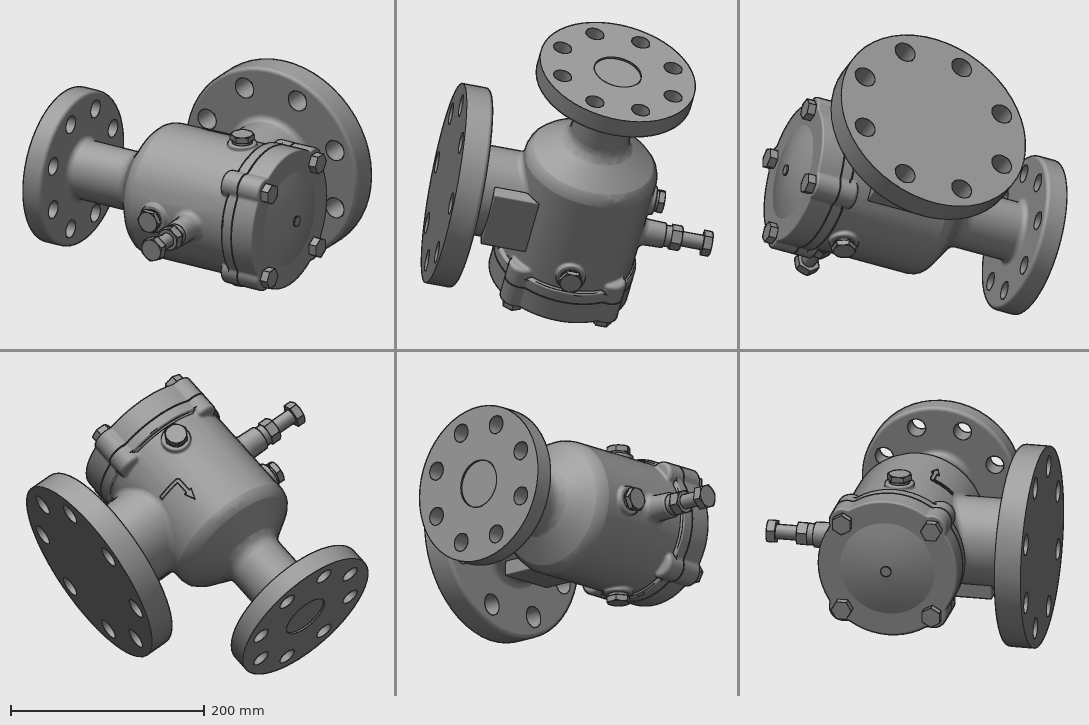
import cadquery as cq
import math


INLET_FACE_X = -180.0
INLET_FLANGE_RADIUS = 82.55
INLET_FLANGE_THICKNESS = 22.3
INLET_BOLT_CIRCLE_RADIUS = 63.5
INLET_BOLT_HOLE_DIAMETER = 19.0
INLET_RECESS_DIAMETER = 50.0
INLET_RECESS_DEPTH = 2.0
INLET_PIPE_RADIUS = 31.0
INLET_ROOT_FILLET = 6.0

OUTLET_FACE_Y = 143.0
OUTLET_FLANGE_RADIUS = 105.0
OUTLET_FLANGE_THICKNESS = 28.4
OUTLET_BOLT_CIRCLE_RADIUS = 84.15
OUTLET_BOLT_HOLE_DIAMETER = 22.3
OUTLET_NECK_RADIUS = 47.2
OUTLET_ROOT_FILLET = 7.0
OUTLET_SADDLE_FILLET = 6.0
FLANGE_BOLT_COUNT = 8
FLANGE_EDGE_FILLET = 4.0

BARREL_RADIUS = 70.2
TAPER_START_X = -91.0
TAPER_END_X = -63.7
TAPER_SMALL_FILLET = 16.0
TAPER_LARGE_FILLET = 15.0

RIM_START_X = 56.0
RIM_RADIUS = 74.0
RIM_FILLET = 1.8
JOINT_X = 68.0
GASKET_THICKNESS = 1.0
COVER_THICKNESS = 25.0
COVER_START_X = JOINT_X + GASKET_THICKNESS
COVER_END_X = COVER_START_X + COVER_THICKNESS
COVER_EDGE_FILLET = 2.0
LUG_START_X = 47.3
LUG_RADIUS = 14.8
LUG_CIRCLE_RADIUS = 67.0
LUG_SIDE_FILLET = 5.5
LUG_NOSE_FILLET = 4.0
LUG_ROOT_FILLET = 3.0
LUG_ANGLES = (45.0, 135.0, 225.0, 315.0)

DOME_HEIGHT = 7.9
DOME_BASE_RADIUS = 50.0
DOME_BOSS_RADIUS = 5.5
DOME_BOSS_HEIGHT = 9.3
COVER_BOLT_FLATS = 18.6
COVER_BOLT_HEAD_HEIGHT = 8.4

TOP_PLUG_X = 36.2
SIDE_PLUG_X = -27.2
PLUG_PAD_RADIUS = 15.3
PLUG_PAD_TOP = 74.4
PLUG_PAD_EDGE_FILLET = 2.0
PLUG_PAD_ROOT_FILLET = 2.3
PLUG_COLLAR_RADIUS = 10.7
PLUG_COLLAR_TOP = 77.2
PLUG_HEAD_FLATS = 22.0
PLUG_HEAD_TOP = 83.6
PAD_FOOT = 60.0
ROOT_MARGIN = 1.0

SCREW_X = 14.6
SCREW_BOSS_FOOT_RADIUS = 14.2
SCREW_BOSS_TIP_RADIUS = 13.0
SCREW_BOSS_TIP = 94.4
SCREW_BOSS_EDGE_FILLET = 1.8
SCREW_BOSS_ROOT_FILLET = 6.0
SCREW_COLLAR_RADIUS = 11.1
SCREW_NUT_START = 100.9
SCREW_NUT_END = 112.0
SCREW_SHANK_RADIUS = 7.6
SCREW_HEAD_START = 134.8
SCREW_HEAD_END = 143.84
SCREW_FLATS = 22.6
SCREW_HEX_TILT = 9.0
HEX_CHAMFER_ANGLE = 30.0

NECK_PAD_HALF_WIDTH = 32.0
NECK_PAD_BOTTOM_Z = -50.0
NECK_PAD_END_Y = 96.5
NECK_PAD_FILLET = 1.5

ARROW_RELIEF = 1.0
ARROW_BAR_WIDTH = 3.8
ARROW_BAR_START_Y = 48.5
ARROW_BAR_END_Y = 26.4
ARROW_HEAD_BASE_X = -16.8
ARROW_TIP_X = -28.9
ARROW_HEAD_HALF_WIDTH = 4.3
ARROW_CORNER_FILLET = 3.5


def x_plane(x):
    """Plane facing +X whose local axes are Y and Z."""
    return cq.Workplane("YZ", origin=(x, 0, 0))


def hexagon(plane, flats, start, end, turn=0.0):
    """Hexagonal prism along the plane normal; at zero turn a corner lies on the local X axis."""
    corner_diameter = flats / math.cos(math.pi / 6)
    prism = plane.workplane(offset=start).polygon(6, corner_diameter).extrude(end - start)
    foot = plane.plane.origin
    return prism.rotate(foot, foot + plane.plane.zDir, turn)


def chamfered_hexagon(plane, flats, start, end, turn=0.0):
    """Hexagonal prism whose far corners are turned down to a cone."""
    corner_radius = flats / math.sqrt(3)
    drop = (corner_radius - flats / 2) * math.tan(math.radians(HEX_CHAMFER_ANGLE))
    envelope = plane.workplane(offset=start).circle(corner_radius).extrude(end - start)
    envelope = envelope.faces(cq.selectors.DirectionNthSelector(plane.plane.zDir, -1)).edges()
    envelope = envelope.chamfer(drop, corner_radius - flats / 2)
    return hexagon(plane, flats, start, end, turn).intersect(envelope)


def cylinder(plane, radius, start, end):
    return plane.workplane(offset=start).circle(radius).extrude(end - start)


def bolt_hole_cutters(plane, circle_radius, diameter, depth):
    start_angle = 180.0 / FLANGE_BOLT_COUNT
    holes = plane.polarArray(circle_radius, start_angle, 360, FLANGE_BOLT_COUNT)
    return holes.circle(diameter / 2).extrude(depth)


def round_ring(body, x, radius, fillet):
    """Fillet the circular edge about the main axis at the given place."""
    def matches(edge):
        return (
            edge.geomType() == "CIRCLE"
            and abs(edge.Center().x - x) < 0.01
            and abs(edge.radius() - radius) < 0.01
        )
    return body.newObject(body.edges().filter(matches).vals()).fillet(fillet)


def round_root(body, plane, radius, fillet):
    """Fillet the edge where a round branch along the plane normal meets the barrel."""
    axis = plane.plane.zDir
    foot = plane.plane.origin
    deepest = math.sqrt(BARREL_RADIUS**2 - radius**2)

    def matches(edge):
        if edge.geomType() == "CIRCLE":
            return False
        for offset in edge.positions([0, 0.25, 0.5, 0.75, 1]):
            span = offset - foot
            height = span.dot(axis)
            off_axis = (span - axis * height).Length
            inside = deepest - ROOT_MARGIN < height < BARREL_RADIUS + ROOT_MARGIN
            if not inside or off_axis > radius + ROOT_MARGIN:
                return False
        return True
    return body.newObject(body.edges().filter(matches).vals()).fillet(fillet)


def make_main_shell():
    """Inlet flange, inlet pipe, taper and barrel turned about the main axis."""
    flange_back = INLET_FACE_X + INLET_FLANGE_THICKNESS
    shell = (
        cq.Workplane("XY")
        .moveTo(INLET_FACE_X, 0)
        .lineTo(INLET_FACE_X, INLET_FLANGE_RADIUS)
        .lineTo(flange_back, INLET_FLANGE_RADIUS)
        .lineTo(flange_back, INLET_PIPE_RADIUS)
        .lineTo(TAPER_START_X, INLET_PIPE_RADIUS)
        .lineTo(TAPER_END_X, BARREL_RADIUS)
        .lineTo(JOINT_X, BARREL_RADIUS)
        .lineTo(JOINT_X, 0)
        .close()
        .revolve(360, (0, 0, 0), (1, 0, 0))
    )
    for x, radius, fillet in (
        (flange_back, INLET_FLANGE_RADIUS, FLANGE_EDGE_FILLET),
        (flange_back, INLET_PIPE_RADIUS, INLET_ROOT_FILLET),
        (TAPER_START_X, INLET_PIPE_RADIUS, TAPER_SMALL_FILLET),
        (TAPER_END_X, BARREL_RADIUS, TAPER_LARGE_FILLET),
    ):
        shell = round_ring(shell, x, radius, fillet)
    face = x_plane(INLET_FACE_X)
    holes = bolt_hole_cutters(
        face, INLET_BOLT_CIRCLE_RADIUS, INLET_BOLT_HOLE_DIAMETER, INLET_FLANGE_THICKNESS
    )
    recess = cylinder(face, INLET_RECESS_DIAMETER / 2, 0, INLET_RECESS_DEPTH)
    return shell.cut(holes).cut(recess)


def make_outlet():
    """Outlet neck and flange turned about the outlet axis."""
    flange_back = OUTLET_FACE_Y - OUTLET_FLANGE_THICKNESS
    outlet = (
        cq.Workplane("XY")
        .lineTo(OUTLET_NECK_RADIUS, 0)
        .lineTo(OUTLET_NECK_RADIUS, flange_back)
        .lineTo(OUTLET_FLANGE_RADIUS, flange_back)
        .lineTo(OUTLET_FLANGE_RADIUS, OUTLET_FACE_Y)
        .lineTo(0, OUTLET_FACE_Y)
        .close()
        .revolve(360, (0, 0, 0), (0, 1, 0))
    )
    back_edges = outlet.faces(cq.selectors.NearestToPointSelector((0, flange_back, 0)))
    outlet = back_edges.edges("%CIRCLE").edges(cq.selectors.RadiusNthSelector(0)).fillet(OUTLET_ROOT_FILLET)
    back_edges = outlet.faces(cq.selectors.NearestToPointSelector((0, flange_back, 0)))
    outlet = back_edges.edges("%CIRCLE").edges(cq.selectors.RadiusNthSelector(-1)).fillet(FLANGE_EDGE_FILLET)
    face = cq.Workplane("XZ", origin=(0, OUTLET_FACE_Y, 0))
    holes = bolt_hole_cutters(
        face, OUTLET_BOLT_CIRCLE_RADIUS, OUTLET_BOLT_HOLE_DIAMETER, OUTLET_FLANGE_THICKNESS
    )
    return outlet.cut(holes)


def make_neck_pad():
    pad = cq.Workplane("XY").box(
        2 * NECK_PAD_HALF_WIDTH, NECK_PAD_END_Y, -NECK_PAD_BOTTOM_Z, centered=(True, False, False)
    )
    pad = pad.translate((0, 0, NECK_PAD_BOTTOM_Z))
    return pad.edges("<Z or (|Z and >Y)").fillet(NECK_PAD_FILLET)


def make_rim(start_x, end_x):
    """Round rim with a lug on each bolt, blended along its sides."""
    plane = x_plane(start_x)
    rim = cylinder(plane, RIM_RADIUS, 0, end_x - start_x)
    lugs = (
        plane.polarArray(LUG_CIRCLE_RADIUS, LUG_ANGLES[0], 360, len(LUG_ANGLES))
        .circle(LUG_RADIUS)
        .extrude(end_x - start_x)
    )
    rim = rim.union(lugs)

    def is_lug_corner(edge):
        middle = edge.Center()
        return (
            edge.geomType() == "LINE"
            and abs(math.hypot(middle.y, middle.z) - RIM_RADIUS) < 0.01
            and min(abs(middle.y), abs(middle.z)) > LUG_RADIUS
        )
    return rim.newObject(rim.edges("|X").filter(is_lug_corner).vals()).fillet(LUG_SIDE_FILLET)


def lug_centre(angle):
    return (
        LUG_CIRCLE_RADIUS * math.cos(math.radians(angle)),
        LUG_CIRCLE_RADIUS * math.sin(math.radians(angle)),
    )


def add_lug_noses(body):
    """Lug ends that run back along the barrel, with a rounded nose and a filleted foot."""
    for angle in LUG_ANGLES:
        lug = x_plane(LUG_START_X).center(*lug_centre(angle)).circle(LUG_RADIUS)
        lug = lug.extrude(JOINT_X - LUG_START_X).faces("<X").edges().fillet(LUG_NOSE_FILLET)
        body = body.union(lug)

    def is_lug_foot(edge):
        points = edge.positions([0, 0.5, 1])
        on_barrel = all(abs(math.hypot(p.y, p.z) - BARREL_RADIUS) < 0.01 for p in points)
        beside_lug = all(min(abs(p.y), abs(p.z)) > LUG_RADIUS for p in points)
        behind_joint = min(p.x for p in points) < JOINT_X - 0.01
        return on_barrel and beside_lug and behind_joint
    return body.newObject(body.edges().filter(is_lug_foot).vals()).fillet(LUG_ROOT_FILLET)


def make_rim_shoulder():
    """Round step from the barrel up to the rim, blended at its foot and its crest."""
    shoulder = cylinder(x_plane(0), BARREL_RADIUS, RIM_START_X - 2 * RIM_FILLET, JOINT_X)
    shoulder = shoulder.union(cylinder(x_plane(0), RIM_RADIUS, RIM_START_X, JOINT_X))
    shoulder = round_ring(shoulder, RIM_START_X, RIM_RADIUS, RIM_FILLET)
    return round_ring(shoulder, RIM_START_X, BARREL_RADIUS, RIM_FILLET)


def make_plug_pad(plane):
    pad = cylinder(plane, PLUG_PAD_RADIUS, PAD_FOOT, PLUG_PAD_TOP)
    top = cq.selectors.DirectionNthSelector(plane.plane.zDir, -1)
    return pad.faces(top).edges().fillet(PLUG_PAD_EDGE_FILLET)


def make_plug(plane, turn):
    collar = cylinder(plane, PLUG_COLLAR_RADIUS, PAD_FOOT, PLUG_COLLAR_TOP)
    return collar.union(
        chamfered_hexagon(plane, PLUG_HEAD_FLATS, PLUG_COLLAR_TOP, PLUG_HEAD_TOP, turn)
    )


def make_screw_boss(plane):
    boss = (
        plane.workplane(offset=PAD_FOOT)
        .circle(SCREW_BOSS_FOOT_RADIUS)
        .workplane(offset=SCREW_BOSS_TIP - PAD_FOOT)
        .circle(SCREW_BOSS_TIP_RADIUS)
        .loft()
    )
    return boss.faces("<Y").edges().fillet(SCREW_BOSS_EDGE_FILLET)


def make_adjusting_screw(plane):
    collar = cylinder(plane, SCREW_COLLAR_RADIUS, PAD_FOOT, SCREW_NUT_START)
    nut = chamfered_hexagon(plane, SCREW_FLATS, SCREW_NUT_START, SCREW_NUT_END, 90 - SCREW_HEX_TILT)
    shank = cylinder(plane, SCREW_SHANK_RADIUS, SCREW_NUT_END, SCREW_HEAD_START)
    head = chamfered_hexagon(plane, SCREW_FLATS, SCREW_HEAD_START, SCREW_HEAD_END, 90 - SCREW_HEX_TILT)
    return collar.union(nut).union(shank).union(head)


def make_flow_arrow():
    """Bent arrow raised evenly above the barrel."""
    half = ARROW_BAR_WIDTH / 2
    outline = (
        cq.Workplane("XY")
        .moveTo(-half, ARROW_BAR_START_Y)
        .lineTo(half, ARROW_BAR_START_Y)
        .lineTo(half, ARROW_BAR_END_Y - half)
        .lineTo(ARROW_HEAD_BASE_X, ARROW_BAR_END_Y - half)
        .lineTo(ARROW_HEAD_BASE_X, ARROW_BAR_END_Y - ARROW_HEAD_HALF_WIDTH)
        .lineTo(ARROW_TIP_X, ARROW_BAR_END_Y)
        .lineTo(ARROW_HEAD_BASE_X, ARROW_BAR_END_Y + ARROW_HEAD_HALF_WIDTH)
        .lineTo(ARROW_HEAD_BASE_X, ARROW_BAR_END_Y + half)
        .lineTo(-half, ARROW_BAR_END_Y + half)
        .close()
        .extrude(BARREL_RADIUS + ARROW_RELIEF)
    )
    outer_corner = cq.selectors.NearestToPointSelector((half, ARROW_BAR_END_Y - half, BARREL_RADIUS / 2))
    outline = outline.edges("|Z").edges(outer_corner).fillet(ARROW_CORNER_FILLET)
    skin = cylinder(x_plane(0), BARREL_RADIUS + ARROW_RELIEF, TAPER_END_X, JOINT_X)
    return outline.intersect(skin)


def make_housing():
    top_plane = cq.Workplane("XY", origin=(TOP_PLUG_X, 0, 0))
    bottom_plane = cq.Workplane("XY", origin=(TOP_PLUG_X, 0, 0)).transformed(rotate=(180, 0, 0))
    side_plane = cq.Workplane("XZ", origin=(SIDE_PLUG_X, 0, 0))
    outlet_plane = cq.Workplane("XZ").transformed(rotate=(180, 0, 0))
    screw_plane = cq.Workplane("XZ", origin=(SCREW_X, 0, 0))

    housing = make_main_shell().union(make_outlet())
    housing = round_root(housing, outlet_plane, OUTLET_NECK_RADIUS, OUTLET_SADDLE_FILLET)
    for plane in (top_plane, bottom_plane, side_plane):
        housing = housing.union(make_plug_pad(plane))
        housing = round_root(housing, plane, PLUG_PAD_RADIUS, PLUG_PAD_ROOT_FILLET)
    housing = housing.union(make_screw_boss(screw_plane))
    housing = round_root(housing, screw_plane, SCREW_BOSS_FOOT_RADIUS, SCREW_BOSS_ROOT_FILLET)
    housing = add_lug_noses(housing)
    housing = housing.union(make_rim_shoulder())
    housing = housing.union(make_rim(RIM_START_X + RIM_FILLET, JOINT_X))
    housing = housing.union(make_neck_pad())
    for plane, turn in ((top_plane, 90), (bottom_plane, 90), (side_plane, 0)):
        housing = housing.union(make_plug(plane, turn))
    housing = housing.union(make_adjusting_screw(screw_plane))
    return housing.union(make_flow_arrow())


def make_cover():
    """Cover plate with a shallow dome, a centre boss and four bolt heads."""
    cover = make_rim(COVER_START_X, COVER_END_X)
    cover = cover.faces(">X").edges().fillet(COVER_EDGE_FILLET)
    dome_radius = (DOME_BASE_RADIUS**2 + DOME_HEIGHT**2) / (2 * DOME_HEIGHT)
    dome = (
        cq.Workplane("XY")
        .moveTo(COVER_END_X, 0)
        .lineTo(COVER_END_X, DOME_BASE_RADIUS)
        .radiusArc((COVER_END_X + DOME_HEIGHT, 0), dome_radius)
        .close()
        .revolve(360, (0, 0, 0), (1, 0, 0))
    )
    cover = cover.union(dome)
    cover = cover.union(cylinder(x_plane(COVER_END_X), DOME_BOSS_RADIUS, 0, DOME_BOSS_HEIGHT))
    for angle in LUG_ANGLES:
        plane = x_plane(COVER_END_X).center(*lug_centre(angle))
        cover = cover.union(hexagon(plane, COVER_BOLT_FLATS, 0, COVER_BOLT_HEAD_HEIGHT, angle - 45))
    return cover


housing = make_housing()
gasket = make_rim(JOINT_X, COVER_START_X)
cover = make_cover()

result = cq.Compound.makeCompound([housing.val(), gasket.val(), cover.val()])